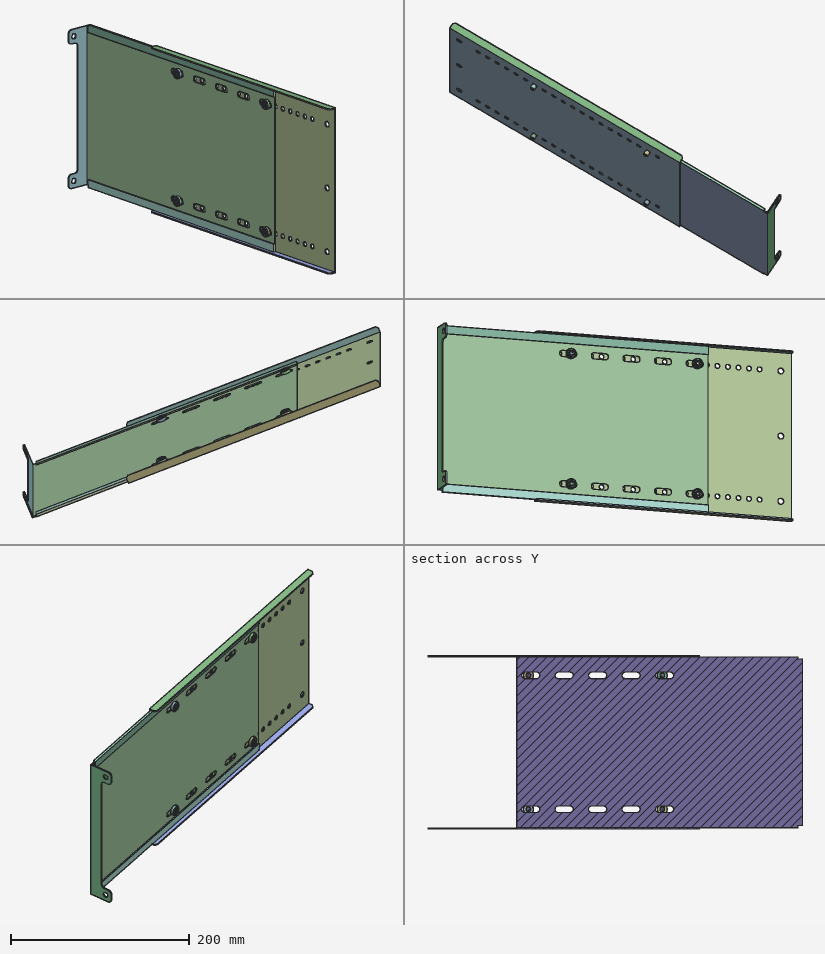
import cadquery as cq

SHEET = 1.5
CLEAR = 4.0
CUT_DEPTH = SHEET + 2 * CLEAR

BOLT_SPACING = 150.0
ROW_Z = BOLT_SPACING / 2
PITCHES_PER_SPACING = 12
HOLE_PITCH = BOLT_SPACING / PITCHES_PER_SPACING
HOLE_COUNT = 20
LAST_HOLE_X = 382.0
FREE_HOLES = 6
FAR_BOLT_X = LAST_HOLE_X - FREE_HOLES * HOLE_PITCH
BOLT_XS = (FAR_BOLT_X - BOLT_SPACING, FAR_BOLT_X)

INNER_LENGTH = 320.3
BRACKET_TIP = 28.0
INNER_BACK_Y = BRACKET_TIP
INNER_FRONT_Y = INNER_BACK_Y - SHEET
HEM_START_X = 5.5
HEM_WIDTH = 9.2
BRACKET_WIDTH = 186.8
BRACKET_BAR_DEPTH = 14.5
TAB_WIDTH = 16.8
TAB_CORNER = 4.0
TAB_HOLE_DIAMETER = 6.5
TAB_HOLE_Y = 7.5
SLOT_LENGTH = 20.0
SLOT_WIDTH = 7.0
SLOT_COUNT = 5
SLOT_PITCH = BOLT_SPACING / (SLOT_COUNT - 1)
SLOT_OFFSET = 2.5

OUTER_LENGTH = 304.5
OUTER_END_X = 419.8
OUTER_WIDTH = 194.5
OUTER_BACK_Y = INNER_BACK_Y + SHEET
FLANGE_DEPTH = 9.0
FLANGE_CORNER = 2.5
MOUNT_HOLE_DIAMETER = 6.7
MOUNT_HOLE_X = 407.0
INNER_WIDTH = OUTER_WIDTH - 2 * SHEET

SHANK_DIAMETER = 5.5
SHANK_TIP_Y = 35.5
SHANK_CHAMFER = 1.05
HEAD_DIAMETER = 11.5
HEAD_HEIGHT = 4.0
HEAD_RIM = 3.5
HEAD_TOP_DIAMETER = 9.2
SOCKET_SIDES = 6
SOCKET_FLATS = 3.8
SOCKET_DEPTH = 2.0
SOCKET_MOUTH_DIAMETER = 6.5
SOCKET_MOUTH_DEPTH = 1.0


def block(x_range, y_range, z_range):
    """Box given by its lower and upper limit along each axis."""
    sizes = [high - low for low, high in (x_range, y_range, z_range)]
    corner = (x_range[0], y_range[0], z_range[0])
    return cq.Workplane("XY").box(*sizes, centered=False).translate(corner)


def front_plane(y):
    """Plane at depth y facing -Y, with local x along X and local y along Z."""
    return cq.Workplane("XZ", origin=(0, y, 0))


def make_bracket():
    """End plate across the inner tray with a drilled tab at each end."""
    half = BRACKET_WIDTH / 2
    bar_y = INNER_BACK_Y - BRACKET_BAR_DEPTH
    tab_inside = half - TAB_WIDTH
    plate = (
        cq.Workplane("YZ")
        .polyline([
            (INNER_BACK_Y, -half), (0, -half), (0, -tab_inside), (bar_y, -tab_inside),
            (bar_y, tab_inside), (0, tab_inside), (0, half), (INNER_BACK_Y, half),
        ])
        .close()
        .extrude(SHEET)
    )
    plate = plate.edges("|X and (not >Y)").fillet(TAB_CORNER)
    tab_z = half - TAB_WIDTH / 2
    holes = (
        cq.Workplane("YZ", origin=(-CLEAR, 0, 0))
        .pushPoints([(TAB_HOLE_Y, tab_z), (TAB_HOLE_Y, -tab_z)])
        .circle(TAB_HOLE_DIAMETER / 2)
        .extrude(CUT_DEPTH)
    )
    return plate.cut(holes)


def make_inner_tray():
    """Slotted web with a hem along both long edges and the bracket at its -X end."""
    half = INNER_WIDTH / 2
    hem_x = (HEM_START_X, INNER_LENGTH)
    web_y = (INNER_FRONT_Y, INNER_BACK_Y)
    hem_y = (INNER_FRONT_Y - SHEET, INNER_FRONT_Y)
    tray = block(hem_x, web_y, (-half, half))
    tray = tray.union(block((0, HEM_START_X), web_y, (-BRACKET_WIDTH / 2, BRACKET_WIDTH / 2)))
    tray = tray.union(block(hem_x, hem_y, (half - HEM_WIDTH, half)))
    tray = tray.union(block(hem_x, hem_y, (-half, HEM_WIDTH - half)))
    tray = tray.union(make_bracket())

    first_slot_x = BOLT_XS[0] - SLOT_OFFSET
    centres = [(first_slot_x + i * SLOT_PITCH, z) for i in range(SLOT_COUNT) for z in (-ROW_Z, ROW_Z)]
    slots = (
        front_plane(INNER_BACK_Y + CLEAR)
        .pushPoints(centres)
        .slot2D(SLOT_LENGTH, SLOT_WIDTH)
        .extrude(CUT_DEPTH)
    )
    return tray.cut(slots)


def make_outer_tray():
    """Shallow channel around the inner tray, with two rows of adjustment holes."""
    half = OUTER_WIDTH / 2
    start_x = OUTER_END_X - OUTER_LENGTH
    length_x = (start_x, OUTER_END_X)
    flange_y = (OUTER_BACK_Y - FLANGE_DEPTH, OUTER_BACK_Y)
    tray = block(length_x, (OUTER_BACK_Y - SHEET, OUTER_BACK_Y), (-half, half))
    for z_range in ((half - SHEET, half), (-half, SHEET - half)):
        flange = block(length_x, flange_y, z_range)
        flange = flange.edges("<Y and |Z").chamfer(FLANGE_CORNER)
        tray = tray.union(flange)

    row_points = [
        (LAST_HOLE_X - i * HOLE_PITCH, z) for i in range(HOLE_COUNT) for z in (-ROW_Z, ROW_Z)
    ]
    adjust_holes = (
        front_plane(OUTER_BACK_Y + CLEAR)
        .pushPoints(row_points)
        .circle(SHANK_DIAMETER / 2)
        .extrude(CUT_DEPTH)
    )
    mount_points = [(MOUNT_HOLE_X, z) for z in (-ROW_Z, 0, ROW_Z)]
    mount_holes = (
        front_plane(OUTER_BACK_Y + CLEAR)
        .pushPoints(mount_points)
        .circle(MOUNT_HOLE_DIAMETER / 2)
        .extrude(CUT_DEPTH)
    )
    return tray.cut(adjust_holes).cut(mount_holes)


def make_bolt(x, z):
    """Socket-head bolt with a bevelled head resting on the front of the inner tray."""
    shank_radius = SHANK_DIAMETER / 2
    head_radius = HEAD_DIAMETER / 2
    top_radius = HEAD_TOP_DIAMETER / 2
    top_y = INNER_FRONT_Y - HEAD_HEIGHT
    mouth_floor_y = top_y + SOCKET_MOUTH_DEPTH
    rim_y = INNER_FRONT_Y - HEAD_RIM
    bolt = (
        cq.Workplane("XY")
        .moveTo(0, mouth_floor_y)
        .lineTo(SOCKET_FLATS / 2, mouth_floor_y)
        .lineTo(SOCKET_MOUTH_DIAMETER / 2, top_y)
        .lineTo(top_radius, top_y)
        .lineTo(head_radius, rim_y)
        .lineTo(head_radius, INNER_FRONT_Y)
        .lineTo(shank_radius, INNER_FRONT_Y)
        .lineTo(shank_radius, SHANK_TIP_Y - SHANK_CHAMFER)
        .lineTo(shank_radius - SHANK_CHAMFER, SHANK_TIP_Y)
        .lineTo(0, SHANK_TIP_Y)
        .close()
        .revolve(360, (0, 0, 0), (0, 1, 0))
    )
    socket = (
        front_plane(top_y + SOCKET_DEPTH)
        .polygon(SOCKET_SIDES, SOCKET_FLATS, circumscribed=True)
        .extrude(SOCKET_DEPTH + CLEAR)
    )
    return bolt.cut(socket).translate((x, 0, z))


inner_tray = make_inner_tray()
outer_tray = make_outer_tray()
bolts = [make_bolt(x, z) for x in BOLT_XS for z in (-ROW_Z, ROW_Z)]

result = cq.Compound.makeCompound(
    [inner_tray.val(), outer_tray.val(), *[bolt.val() for bolt in bolts]]
)